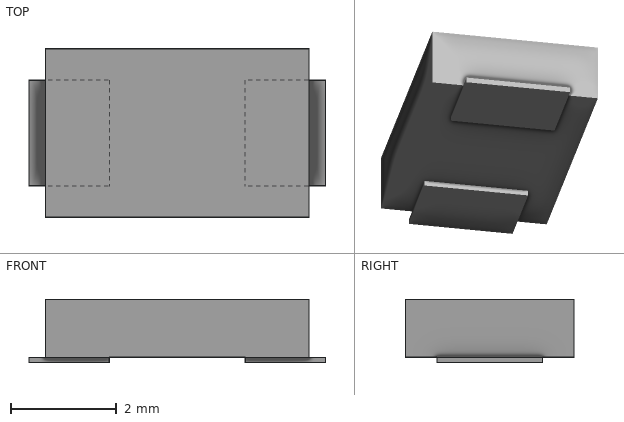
import cadquery as cq

overall_length = 5.62
overall_height = 1.2

terminal_length = 1.525
terminal_width = 2.0
terminal_thickness = 0.1

package_length = 5.0
package_width = 3.2
package_height = overall_height - terminal_thickness

terminal_center_x = (overall_length - terminal_length) / 2


def block(length, width, height):
    """Box centred on X and Y with its bottom face at Z = 0."""
    return cq.Workplane("XY").box(length, width, height, centered=(True, True, False))


def make_package():
    """Block whose bottom face lies on top of the terminals."""
    return block(package_length, package_width, package_height).translate((0, 0, terminal_thickness))


def make_terminal(side):
    """Flat terminal at the -X end (side = -1) or the +X end (side = +1)."""
    plate = block(terminal_length, terminal_width, terminal_thickness)
    return plate.translate((side * terminal_center_x, 0, 0))


package = make_package()
terminals = [make_terminal(side) for side in (-1, 1)]

result = cq.Compound.makeCompound([package.val(), *[terminal.val() for terminal in terminals]])